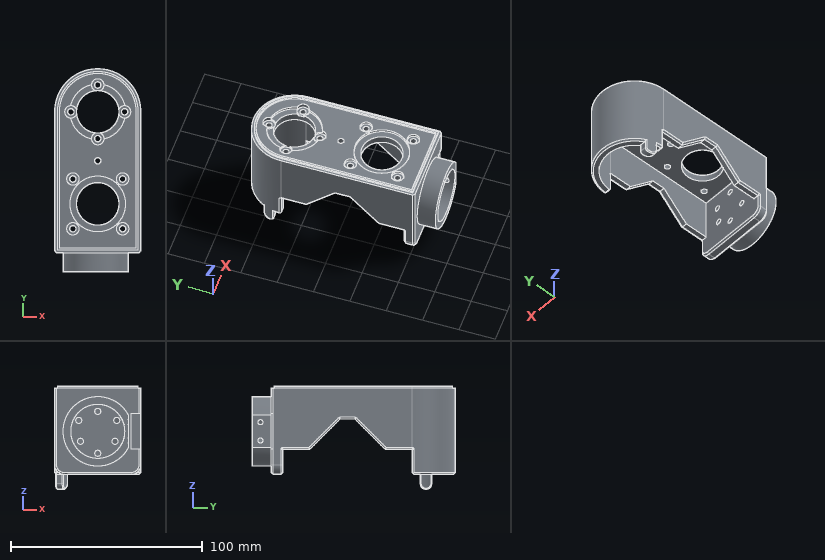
import cadquery as cq
import math


TOTAL_LENGTH = 106
TOTAL_HEIGHT = 53.8
WIDTH = 45.0
HEIGHT = 45.0
LENGTH = 96.0
OUTER_RADIUS = WIDTH / 2
FRONT_Y = OUTER_RADIUS - LENGTH
WALL = 4.0
FRONT_PLATE = 6.0
PLATE_INNER_Y = FRONT_Y + FRONT_PLATE
PLATE_CORNER_RADIUS = 5.0
ROOF = 6.0
BEVEL = 1.0

LIP_HEIGHT = 1.0
LIP_INSET = 1.5
LIP_WIDTH = 1.0

STEP_HEIGHT = 13.0
PEAK_RISE = 15.8
PEAK_WIDTH = 7.8

SCREW_DIAMETER = 3.2
SCREW_HEAD_DIAMETER = 6.5
OPENING_DIAMETER = 22.0
RECESS_DIAMETER = 29.0
RECESS_DEPTH = 1.5
OPENING_SPACING = 48.0
REAR_SCREW_CIRCLE = 28.0
REAR_HEAD_DEPTH = 2.5
FRONT_SCREW_SQUARE = 26.0
FRONT_HEAD_DEPTH = 1.5
MIDDLE_HOLE_Y = -25.5

COLLAR_LENGTH = TOTAL_LENGTH - LENGTH
COLLAR_RADIUS = 18.1
COLLAR_FLAT_X = 16.0
BORE_RADIUS = 14.1
BORE_DEPTH = 11.0
COLLAR_Z = 22.5
BORE_SCREW_TRIPLES = ((10.4, 90), (11.5, 30))
SIDE_SCREW_DIAMETER = 2.6
SIDE_SCREW_SPACING = 9.5
SIDE_SCREW_SETBACK = 4.3

RELIEF_X = 17.3
RELIEF_HEIGHT = 18.5
RELIEF_DEPTH = BEVEL

TONGUE_LENGTH = TOTAL_HEIGHT - HEIGHT - LIP_HEIGHT
TONGUE_WIDTH = 6.0
TONGUE_Y = 7.2
TONGUE_BEVEL = 0.5


def round_ended_plate(inset, front_y, bottom_z, height):
    """Prism with a half-round rear end, its sides moved in from the housing by inset."""
    radius = OUTER_RADIUS - inset
    return (
        cq.Workplane("XY", origin=(0, 0, bottom_z))
        .moveTo(-radius, front_y)
        .lineTo(radius, front_y)
        .lineTo(radius, 0)
        .threePointArc((0, radius), (-radius, 0))
        .close()
        .extrude(height)
    )


def vertical_cylinder(diameter, x, y, bottom_z):
    """Cylinder from bottom_z up to the roof surface."""
    base = cq.Workplane("XY", origin=(x, y, bottom_z))
    return base.circle(diameter / 2).extrude(HEIGHT - bottom_z)


def front_plate():
    """Front plate with rounded lower corners, beveled around both faces."""
    plate = (
        cq.Workplane("XY", origin=(0, FRONT_Y, 0))
        .box(WIDTH, FRONT_PLATE, HEIGHT, centered=(True, False, False))
        .edges("|Y and <Z")
        .fillet(PLATE_CORNER_RADIUS)
    )
    return plate.faces("<Y or >Y").edges("not >Z").chamfer(BEVEL)


def rear_wall_foot():
    """Half-round rear end below the level of the side openings, beveled around its rim."""
    foot = (
        cq.Workplane("XY")
        .moveTo(-OUTER_RADIUS, 0)
        .lineTo(OUTER_RADIUS, 0)
        .threePointArc((0, OUTER_RADIUS), (-OUTER_RADIUS, 0))
        .close()
        .extrude(STEP_HEIGHT)
    )
    return foot.faces("<Z").edges().chamfer(BEVEL)


def side_opening_outline(start_x):
    """Stepped outline with a 45 degree peak, drawn in the plane X = start_x."""
    middle_y = PLATE_INNER_Y / 2
    peak_half = PEAK_WIDTH / 2
    foot_half = peak_half + PEAK_RISE
    return (
        cq.Workplane("YZ", origin=(start_x, 0, 0))
        .polyline([
            (PLATE_INNER_Y, -STEP_HEIGHT),
            (PLATE_INNER_Y, STEP_HEIGHT),
            (middle_y - foot_half, STEP_HEIGHT),
            (middle_y - peak_half, STEP_HEIGHT + PEAK_RISE),
            (middle_y + peak_half, STEP_HEIGHT + PEAK_RISE),
            (middle_y + foot_half, STEP_HEIGHT),
            (0, STEP_HEIGHT),
            (0, -STEP_HEIGHT),
        ])
        .close()
    )


def side_openings():
    """Opening through both side walls, flaring at 45 degrees next to the outer surface."""
    through = side_opening_outline(-WIDTH).extrude(2 * WIDTH)
    flare = side_opening_outline(OUTER_RADIUS - BEVEL).extrude(2 * BEVEL, taper=-45)
    return through.union(flare).union(flare.mirror("YZ"))


def housing():
    upper = round_ended_plate(0, FRONT_Y, STEP_HEIGHT, HEIGHT - STEP_HEIGHT)
    upper = upper.edges("|Z and <Y").chamfer(BEVEL)
    cavity = round_ended_plate(WALL, PLATE_INNER_Y, -ROOF, HEIGHT)
    solid = upper.union(front_plate()).union(rear_wall_foot())
    return solid.cut(side_openings()).cut(cavity)


def lip():
    """Narrow lip standing on the roof, parallel to its outline."""
    outer = round_ended_plate(LIP_INSET, FRONT_Y + LIP_INSET, HEIGHT, LIP_HEIGHT)
    inner_inset = LIP_INSET + LIP_WIDTH
    inner = round_ended_plate(inner_inset, FRONT_Y + inner_inset, HEIGHT, LIP_HEIGHT)
    return outer.cut(inner)


def recessed_opening(y, screw_points, head_depth):
    """Recessed round opening in the roof with counterbored screw holes around it."""
    cutter = vertical_cylinder(OPENING_DIAMETER, 0, y, HEIGHT - 2 * ROOF)
    cutter = cutter.union(vertical_cylinder(RECESS_DIAMETER, 0, y, HEIGHT - RECESS_DEPTH))
    for x, screw_y in screw_points:
        hole = vertical_cylinder(SCREW_DIAMETER, x, y + screw_y, HEIGHT - 2 * ROOF)
        head = vertical_cylinder(SCREW_HEAD_DIAMETER, x, y + screw_y, HEIGHT - head_depth)
        cutter = cutter.union(hole).union(head)
    return cutter


def collar():
    """Round collar with one flat on the +X side."""
    ring = (
        cq.Workplane("XZ", origin=(0, FRONT_Y, COLLAR_Z))
        .circle(COLLAR_RADIUS)
        .extrude(COLLAR_LENGTH)
    )
    beyond_flat = (
        cq.Workplane("XY", origin=(COLLAR_FLAT_X, FRONT_Y, COLLAR_Z))
        .box(WIDTH, 2 * COLLAR_LENGTH, HEIGHT, centered=(False, True, True))
    )
    return ring.cut(beyond_flat)


def collar_holes():
    """Bore, the screw holes in its floor and the two holes through the flat."""
    mouth_y = FRONT_Y - COLLAR_LENGTH
    face = cq.Workplane("XZ", origin=(0, mouth_y, COLLAR_Z))
    cutter = face.circle(BORE_RADIUS).extrude(-BORE_DEPTH)
    for radius, start_angle in BORE_SCREW_TRIPLES:
        screws = (
            face.polarArray(radius, start_angle, 360, 3)
            .circle(SCREW_DIAMETER / 2)
            .extrude(-COLLAR_LENGTH - 2 * FRONT_PLATE)
        )
        cutter = cutter.union(screws)
    side_screws = (
        cq.Workplane("YZ", origin=(0, FRONT_Y - COLLAR_LENGTH + SIDE_SCREW_SETBACK, COLLAR_Z))
        .rarray(1.1, SIDE_SCREW_SPACING, 1, 2)
        .circle(SIDE_SCREW_DIAMETER / 2)
        .extrude(WIDTH)
    )
    return cutter.union(side_screws)


def plate_relief():
    """Cutter for the shallow relief at the +X edge of the front plate."""
    return (
        cq.Workplane("XY", origin=(RELIEF_X, FRONT_Y, COLLAR_Z))
        .box(WIDTH, 2 * RELIEF_DEPTH, RELIEF_HEIGHT, centered=(False, True, True))
    )


def tongue():
    """Round-ended tongue following the curved wall on the -X side."""
    radius = TONGUE_WIDTH / 2
    profile = (
        cq.Workplane("YZ", origin=(0, TONGUE_Y, 0))
        .moveTo(-radius, BEVEL)
        .lineTo(-radius, radius - TONGUE_LENGTH)
        .threePointArc((0, -TONGUE_LENGTH), (radius, radius - TONGUE_LENGTH))
        .lineTo(radius, BEVEL)
        .close()
        .extrude(-WIDTH)
    )
    ring = (
        cq.Workplane("XY", origin=(0, 0, -TONGUE_LENGTH))
        .circle(OUTER_RADIUS)
        .circle(OUTER_RADIUS - WALL)
        .extrude(TONGUE_LENGTH + BEVEL)
    )
    tongue_body = ring.intersect(profile)
    return tongue_body.edges("not (|X or >Z)").chamfer(TONGUE_BEVEL)


rear_radius = REAR_SCREW_CIRCLE / 2
rear_screws = [
    (rear_radius * math.cos(math.radians(angle)), rear_radius * math.sin(math.radians(angle)))
    for angle in (0, 90, 180, 270)
]
half_square = FRONT_SCREW_SQUARE / 2
front_screws = [(x, y) for x in (-half_square, half_square) for y in (-half_square, half_square)]

result = housing().union(lip()).union(collar()).union(tongue())
result = result.cut(recessed_opening(0, rear_screws, REAR_HEAD_DEPTH))
result = result.cut(recessed_opening(-OPENING_SPACING, front_screws, FRONT_HEAD_DEPTH))
result = result.cut(vertical_cylinder(SCREW_DIAMETER, 0, MIDDLE_HOLE_Y, HEIGHT - 2 * ROOF))
result = result.cut(collar_holes()).cut(plate_relief())